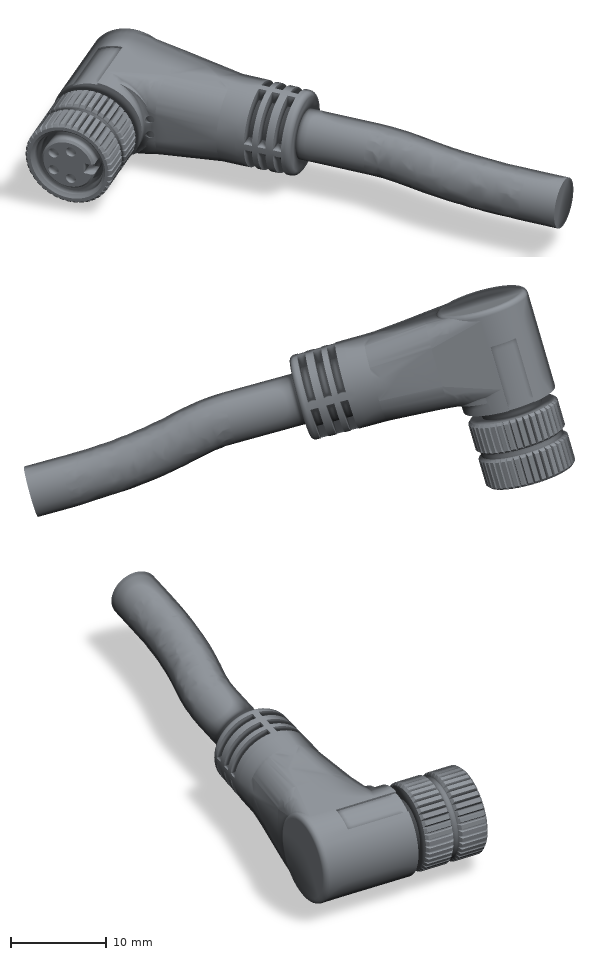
import cadquery as cq
import math

overall_width = 19.5
overall_height = 10.0
overall_length = 56.0
overlap = 0.55


body_radius = overall_height / 2
body_back = body_radius
body_front = -6.05
body_back_fillet = 0.55

label_width = 2.75
label_back = 1.1
label_depth = 0.2

sleeve_radius = 4.7
sleeve_end_radius = 4.6
arm_start = 0.2
arm_start_half = math.sqrt(body_radius**2 - arm_start**2)
arm_start_back_corner = 0.9
arm_start_front_corner = 1.4
arm_middle = 6.05
arm_middle_half = 4.75
arm_middle_back_corner = 2.2
arm_middle_front_corner = 3.1
sleeve_start = 12.9
sleeve_end = 21.05
sleeve_taper_start = 15.0
back_flat_angle = 28
front_flat_angle = 18
sleeve_end_fillet = 0.55

flare_radius = 0.8
flare_shift = 1.1
flare_top = -3.35

dimple_radius = 0.45
dimple_x = body_radius + dimple_radius
dimple_z = 0.95
dimple_floor = -4.7

slot_starts = (15.95, 17.5, 19.2)
slot_length = 0.9
slot_floor_radius = 3.25
rib_width = 0.7

cable_radius = 2.75
cable_bend_start = 28.7
cable_bend_end = 47.05
cable_end = overall_length - body_radius
cable_offset = -2.0
cable_mid_x = 35.6

neck_radius = 3.25
nut_back = -7.15
nut_front = body_back - overall_width
nut_radius = 4.9
nut_chamfer = 0.3
knurl_count = 40
knurl_depth = 0.4
knurl_tip_share = 0.3
ring_groove_radius = nut_radius - knurl_depth
ring_groove_back = -10.5
ring_groove_front = -11.1

bore_radius = 3.5
bore_depth = 2.8
bore_mouth_radius = 4.2
bore_step_radius = 3.85
bore_step_start = 0.35
bore_step_end = 1.0
bore_taper_end = 1.35
core_radius = 2.95
core_chamfer = 0.2
pin_radius = 0.55
pin_depth = 1.7
pin_places = ((0.35, 1.7), (-1.6, 1.05))
key_inner = 1.8
key_width = 1.25
key_depth = 1.7


def cylinder_x(radius, start, end):
    return cq.Workplane("YZ", origin=(start, 0, 0)).circle(radius).extrude(end - start)


def cylinder_y(radius, back, front, x=0, z=0):
    """Cylinder along Y from the back plane toward -Y."""
    return cq.Workplane("XZ", origin=(x, back, z)).circle(radius).extrude(back - front)


def revolve_y(points):
    """Turn a (radius, y) outline around the connector axis."""
    return cq.Workplane("XY").polyline(points).close().revolve(360, (0, 0, 0), (0, 1, 0))


def square_section(x, half, back_corner, front_corner):
    """Square outline across the arm, with its own corner radius on the back and front sides."""
    diagonal = 1 - math.sqrt(0.5)
    back_flat = half - back_corner
    front_flat = half - front_corner
    back_mid = half - diagonal * back_corner
    front_mid = half - diagonal * front_corner
    return (
        cq.Workplane("YZ", origin=(x, 0, 0))
        .moveTo(half, -back_flat)
        .lineTo(half, back_flat)
        .threePointArc((back_mid, back_mid), (back_flat, half))
        .lineTo(-front_flat, half)
        .threePointArc((-front_mid, front_mid), (-half, front_flat))
        .lineTo(-half, -front_flat)
        .threePointArc((-front_mid, -front_mid), (-front_flat, -half))
        .lineTo(back_flat, -half)
        .threePointArc((back_mid, -back_mid), (half, -back_flat))
        .close()
        .wire()
        .val()
    )


def round_section(x, radius, back_angle, front_angle):
    """Circle split into four side arcs and four corner arcs, to pair with a square section."""

    def on_circle(degrees):
        angle = math.radians(degrees)
        return (radius * math.cos(angle), radius * math.sin(angle))

    corner_angles = (
        (back_angle, 90 - back_angle),
        (90 + front_angle, 180 - front_angle),
        (180 + front_angle, 270 - front_angle),
        (270 + back_angle, 360 - back_angle),
    )
    outline = cq.Workplane("YZ", origin=(x, 0, 0)).moveTo(*on_circle(-back_angle))
    for quarter, (corner_start, corner_end) in enumerate(corner_angles):
        outline = outline.threePointArc(on_circle(90 * quarter), on_circle(corner_start))
        outline = outline.threePointArc(on_circle(90 * quarter + 45), on_circle(corner_end))
    return outline.close().wire().val()


def loft(*sections):
    return cq.Workplane(cq.Solid.makeLoft(list(sections), True))


def make_body():
    body = cylinder_y(body_radius, body_back, body_front)
    return body.faces(">Y").edges().fillet(body_back_fillet)


def make_arm():
    start = square_section(arm_start, arm_start_half, arm_start_back_corner, arm_start_front_corner)
    middle = square_section(arm_middle, arm_middle_half, arm_middle_back_corner, arm_middle_front_corner)
    end = round_section(sleeve_start, sleeve_radius, back_flat_angle, front_flat_angle)
    arm = loft(start, middle, end)
    return arm.union(make_sleeve())


def make_sleeve():
    outline = [
        (sleeve_start, 0),
        (sleeve_start, sleeve_radius),
        (sleeve_taper_start, sleeve_radius),
        (sleeve_end, sleeve_end_radius),
        (sleeve_end, 0),
    ]
    sleeve = cq.Workplane("XY").polyline(outline).close().revolve(360, (0, 0, 0), (1, 0, 0))
    return sleeve.faces(">X").edges().fillet(sleeve_end_fillet)


def make_elbow_flare():
    arm_front = -arm_middle_half
    inner_radius = body_radius - flare_shift
    outer_radius = inner_radius + flare_radius
    reach = flare_radius * (1 - math.sqrt(0.5))
    flare = (
        cq.Workplane("XY")
        .moveTo(0, flare_top)
        .lineTo(0, arm_front - flare_radius)
        .lineTo(inner_radius, arm_front - flare_radius)
        .threePointArc((inner_radius + reach, arm_front - reach), (outer_radius, arm_front))
        .lineTo(outer_radius, flare_top)
        .close()
        .revolve(360, (0, 0, 0), (0, 1, 0))
    )
    return flare.translate((flare_shift, 0, 0))


def make_dimples():
    upper = cylinder_y(dimple_radius, dimple_floor, body_front, dimple_x, dimple_z)
    return upper.union(upper.mirror("XY"))


def make_slots():
    rib_span = 2 * (sleeve_radius + overlap)
    slots = cq.Workplane("XY")
    for start in slot_starts:
        end = start + slot_length
        ring = cylinder_x(sleeve_radius + overlap, start, end).cut(cylinder_x(slot_floor_radius, start, end))
        for width, height in ((rib_span, rib_width), (rib_width, rib_span)):
            rib = cq.Workplane("XY").box(slot_length, width, height)
            ring = ring.cut(rib.translate((start + slot_length / 2, 0, 0)))
        slots = slots.union(ring)
    return slots


def make_label_panels():
    panel = cylinder_y(body_radius + overlap, label_back, body_front)
    panel = panel.cut(cylinder_y(body_radius - label_depth, label_back, body_front))
    window = cq.Workplane("XY").box(label_width, overall_width, overall_height)
    return panel.intersect(window.translate((-label_width / 2, 0, 0)))


def make_cable():
    path = (
        cq.Workplane("XY")
        .moveTo(sleeve_end - overlap, 0)
        .lineTo(cable_bend_start, 0)
        .spline(
            [(cable_mid_x, cable_offset / 2), (cable_bend_end, cable_offset)],
            tangents=[(1, 0), (1, 0)],
            includeCurrent=True,
        )
        .lineTo(cable_end, cable_offset)
    )
    return cq.Workplane("YZ", origin=(sleeve_end - overlap, 0, 0)).circle(cable_radius).sweep(path)


def make_knurled_bar():
    step = 2 * math.pi / knurl_count
    tooth_corners = (
        (nut_radius, -knurl_tip_share),
        (nut_radius, knurl_tip_share),
        (ring_groove_radius, 0.5),
    )
    points = []
    for tooth in range(knurl_count):
        middle = tooth * step
        for radius, share in tooth_corners:
            angle = middle + share * step
            points.append((radius * math.cos(angle), radius * math.sin(angle)))
    bar = cq.Workplane("XZ", origin=(0, nut_back, 0)).polyline(points).close()
    return bar.extrude(nut_back - nut_front)


def make_nut():
    envelope = revolve_y([
        (0, nut_back),
        (nut_radius - nut_chamfer, nut_back),
        (nut_radius, nut_back - nut_chamfer),
        (nut_radius, ring_groove_back + nut_chamfer),
        (ring_groove_radius, ring_groove_back),
        (ring_groove_radius, ring_groove_front),
        (nut_radius, ring_groove_front - nut_chamfer),
        (nut_radius, nut_front + nut_chamfer),
        (nut_radius - nut_chamfer, nut_front),
        (0, nut_front),
    ])
    bore = revolve_y([
        (0, nut_front),
        (bore_mouth_radius, nut_front),
        (bore_step_radius, nut_front + bore_step_start),
        (bore_step_radius, nut_front + bore_step_end),
        (bore_radius, nut_front + bore_taper_end),
        (bore_radius, nut_front + bore_depth),
        (0, nut_front + bore_depth),
    ])
    return make_knurled_bar().intersect(envelope).cut(bore)


def make_core():
    core = cylinder_y(core_radius, nut_front + bore_depth, nut_front)
    core = core.faces("<Y").edges().chamfer(core_chamfer)
    for x, z in pin_places:
        for side in (1, -1):
            core = core.cut(cylinder_y(pin_radius, nut_front + pin_depth, nut_front, x, side * z))
    key = cq.Workplane("XY").box(core_radius, key_depth, key_width, centered=(False, False, True))
    return core.cut(key.translate((key_inner, nut_front, 0)))


housing = make_body().union(make_arm()).union(make_elbow_flare())
housing = housing.cut(make_dimples()).cut(make_label_panels()).cut(make_slots())
neck = cylinder_y(neck_radius, body_front, nut_back)
result = housing.union(make_cable()).union(neck).union(make_nut()).union(make_core())